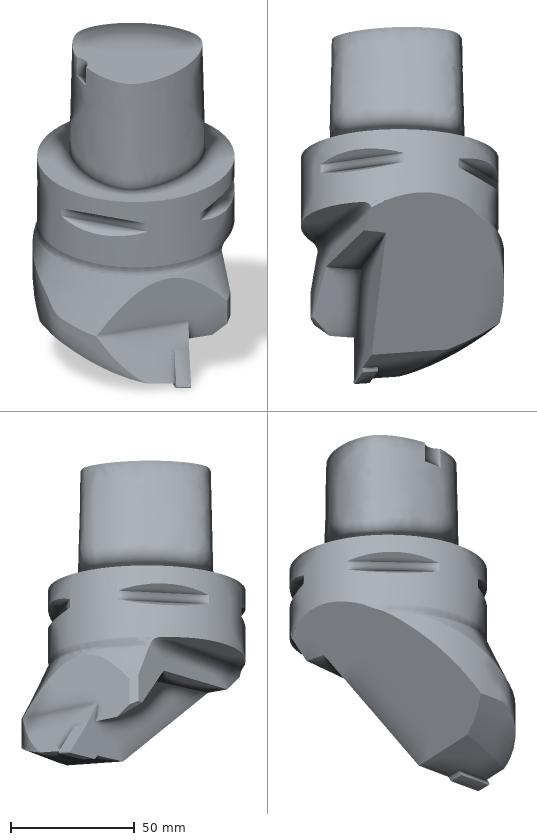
import cadquery as cq
import math

SHANK_HEIGHT = 48.0
FLANGE_RADIUS = 80.0 / 2
FLANGE_HEIGHT = 30.0
BODY_DEPTH = 80.0
REACH = 153.6

LOBE_MEAN_RADIUS = 27.5
LOBE_AMPLITUDE = 2.11
SHANK_TAPER = 1.2
LOBE_POINTS = 36

KEYWAY_RADIUS = 5.95
KEYWAY_DEPTH = 8.2
KEYWAY_CENTRE_Y = -21.9 - KEYWAY_RADIUS

GROOVE_COUNT = 4
GROOVE_Z = -11.9
GROOVE_FLOOR_DISTANCE = 35.3
GROOVE_FLOOR_WIDTH = 3.6
GROOVE_ANGLE = 30.0

NECK_RADIUS = 39.8
NECK_MIDDLE_Z = -31.7
CONE_TOP_RADIUS = 40.8
CONE_TOP_Z = -34.0
CONE_SLOPE = 0.48
SIDE_Y = 23.7
BELLY_Y = -45.3
SIDE_FILLET = 3.2
SIDE_CHAMFER_Y = 14.7
SIDE_CHAMFER_TOP = -58.6
SIDE_CHAMFER_BOTTOM = -64.4
LEFT_PLANE_Z = -26.2
LEFT_PLANE_ANGLE = 39.0
RELIEF_Y = 26.5
RELIEF_RISE = 1.2

FRONT_ANGLE = math.degrees(math.atan2(4, 43))
FRONT_OFFSET = 41.5
NOSE_TOP_Z = -56.7
NOSE_SLOPE = 1.9
NOSE_FILLET = 5.1 / 2
POCKET_ENTRY_Z = -39.0
POCKET_CORNER = (20.5, -42.0)
POCKET_LIP = (39.7, -62.7)

UNDERSIDE_START = (-46.6, -62.3)
UNDERSIDE_MIDDLE = (-28.2, -72.6)
UNDERSIDE_LOW = (3.6, -79.4)
TIP_FLAT_POINT = (23.0, 3.6, -77.0)
TIP_FLAT_NORMAL = (-0.06, -0.12, -1.0)

TIP = (55.5, -0.1, -80.0)
RAKE_NORMAL = (0.11, 1.0, -0.14)
INSERT_EDGE = 15.9
INSERT_ANGLE = 55.0
INSERT_TILT = 2.0
INSERT_THICKNESS = 6.4
INSERT_CORNER_RADIUS = 0.6

tip_flat_plane = cq.Plane(
    origin=TIP_FLAT_POINT, xDir=(1, 0, TIP_FLAT_NORMAL[0]), normal=TIP_FLAT_NORMAL
)
rake_plane = cq.Plane(origin=TIP, xDir=(1.0, -RAKE_NORMAL[0], 0), normal=RAKE_NORMAL)
strike = math.radians(FRONT_ANGLE)
front_plane = cq.Plane(
    origin=(0, 0, 0),
    xDir=(math.cos(strike), -math.sin(strike), 0),
    normal=(-math.sin(strike), -math.cos(strike), 0),
)


def lobe_points(mean_radius):
    """Points of a curve whose tangent distance from the axis varies three times per turn."""
    points = []
    for i in range(LOBE_POINTS):
        turn = 2 * math.pi * i / LOBE_POINTS
        phase = 3 * (turn - math.pi / 2)
        distance = mean_radius + LOBE_AMPLITUDE * math.cos(phase)
        slide = -3 * LOBE_AMPLITUDE * math.sin(phase)
        x = distance * math.cos(turn) - slide * math.sin(turn)
        y = distance * math.sin(turn) + slide * math.cos(turn)
        points.append((x, y))
    return points


def make_shank():
    shank = (
        cq.Workplane("XY")
        .spline(lobe_points(LOBE_MEAN_RADIUS), periodic=True).close()
        .workplane(offset=SHANK_HEIGHT)
        .spline(lobe_points(LOBE_MEAN_RADIUS - SHANK_TAPER), periodic=True).close()
        .loft(ruled=True)
    )
    keyway = (
        cq.Workplane("XY").workplane(offset=SHANK_HEIGHT - KEYWAY_DEPTH)
        .center(0, KEYWAY_CENTRE_Y).circle(KEYWAY_RADIUS).extrude(KEYWAY_DEPTH)
    )
    return shank.cut(keyway)


def gripper_groove():
    """Straight trapezoidal groove across the +X side of the flange."""
    depth = 2 * (FLANGE_RADIUS - GROOVE_FLOOR_DISTANCE)
    half_floor = GROOVE_FLOOR_WIDTH / 2
    half_mouth = half_floor + depth * math.tan(math.radians(GROOVE_ANGLE))
    mouth_x = GROOVE_FLOOR_DISTANCE + depth
    return (
        cq.Workplane("XZ")
        .moveTo(GROOVE_FLOOR_DISTANCE, GROOVE_Z - half_floor)
        .lineTo(mouth_x, GROOVE_Z - half_mouth)
        .lineTo(mouth_x, GROOVE_Z + half_mouth)
        .lineTo(GROOVE_FLOOR_DISTANCE, GROOVE_Z + half_floor)
        .close().extrude(FLANGE_RADIUS, both=True)
    )


def make_flange():
    flange = cq.Workplane("XY").circle(FLANGE_RADIUS).extrude(-FLANGE_HEIGHT)
    for i in range(GROOVE_COUNT):
        angle = 360 / GROOVE_COUNT * (i + 0.5)
        flange = flange.cut(gripper_groove().rotate((0, 0, 0), (0, 0, 1), angle))
    relief = (
        cq.Workplane("YZ").moveTo(RELIEF_Y, -FLANGE_HEIGHT)
        .lineTo(FLANGE_RADIUS, RELIEF_RISE - FLANGE_HEIGHT)
        .lineTo(FLANGE_RADIUS, -FLANGE_HEIGHT)
        .close().extrude(FLANGE_RADIUS, both=True)
    )
    return flange.cut(relief)


def head_plan():
    """Plan outline of the head, carried down past the tip."""
    return (
        cq.Workplane("XY").workplane(offset=-FLANGE_HEIGHT)
        .moveTo(-25.6, -31.4)
        .threePointArc((-9.6, -41.5), (11.4, BELLY_Y))
        .lineTo(17.0, BELLY_Y)
        .threePointArc((21.2, -44.8), (25.2, -43.4))
        .threePointArc((40.3, -32.8), (53.8, -3.8))
        .lineTo(53.8, 10.9)
        .lineTo(41, SIDE_Y)
        .lineTo(-32.1, SIDE_Y)
        .threePointArc((-FLANGE_RADIUS, 0), (-25.6, -31.4))
        .close().extrude(FLANGE_HEIGHT - BODY_DEPTH)
    )


def head_cone():
    """Hollow neck under the flange rim and the cone that widens below it."""
    bottom_radius = CONE_TOP_RADIUS + CONE_SLOPE * (BODY_DEPTH + CONE_TOP_Z)
    return (
        cq.Workplane("XZ").moveTo(0, -FLANGE_HEIGHT)
        .lineTo(FLANGE_RADIUS, -FLANGE_HEIGHT)
        .threePointArc((NECK_RADIUS, NECK_MIDDLE_Z), (CONE_TOP_RADIUS, CONE_TOP_Z))
        .lineTo(bottom_radius, -BODY_DEPTH)
        .lineTo(0, -BODY_DEPTH)
        .close().revolve(360, (0, 0, 0), (0, 1, 0))
    )


def front_profile():
    """Steep front wall that spreads outward into the nose."""
    nose_x = FRONT_OFFSET + (BODY_DEPTH + NOSE_TOP_Z) / NOSE_SLOPE
    inner_corner = front_plane.toWorldCoords((FRONT_OFFSET, NOSE_TOP_Z, 0)).toTuple()
    return (
        cq.Workplane(front_plane).moveTo(-REACH, 0)
        .lineTo(FRONT_OFFSET, 0)
        .lineTo(FRONT_OFFSET, NOSE_TOP_Z)
        .lineTo(nose_x, -BODY_DEPTH)
        .lineTo(-REACH, -BODY_DEPTH)
        .close().extrude(REACH, both=True)
        .edges(cq.selectors.NearestToPointSelector(inner_corner))
        .fillet(NOSE_FILLET)
    )


def chip_pocket():
    """Space in front of the rake plane, below the block that stays above it."""
    rake_side = cq.Workplane(rake_plane).rect(2 * REACH, 2 * REACH).extrude(REACH)
    block = (
        cq.Workplane(front_plane).moveTo(-REACH, 0)
        .lineTo(-REACH, POCKET_ENTRY_Z)
        .lineTo(-FLANGE_RADIUS, POCKET_ENTRY_Z)
        .lineTo(*POCKET_CORNER)
        .lineTo(*POCKET_LIP)
        .lineTo(FRONT_OFFSET, SIDE_CHAMFER_BOTTOM)
        .lineTo(FRONT_OFFSET, 0)
        .close().extrude(REACH, both=True)
    )
    return rake_side.cut(block)


def rounded_underside():
    """Space above the curved underside, which runs along X."""
    return (
        cq.Workplane("YZ").moveTo(UNDERSIDE_START[0], 0)
        .lineTo(*UNDERSIDE_START)
        .threePointArc(UNDERSIDE_MIDDLE, UNDERSIDE_LOW)
        .lineTo(FLANGE_RADIUS, UNDERSIDE_LOW[1])
        .lineTo(FLANGE_RADIUS, 0)
        .close().extrude(REACH, both=True)
    )


def flat_underside():
    """Space below the tilted flat next to the tip."""
    return (
        cq.Workplane(tip_flat_plane)
        .rect(2 * REACH, 2 * REACH).extrude(REACH)
    )


def side_chamfer():
    """Wedge under the block at the lower edge of the flat +Y side."""
    return (
        cq.Workplane("YZ").moveTo(SIDE_Y, SIDE_CHAMFER_TOP)
        .lineTo(SIDE_CHAMFER_Y, SIDE_CHAMFER_BOTTOM)
        .lineTo(SIDE_Y, SIDE_CHAMFER_BOTTOM)
        .close().extrude(REACH, both=True)
    )


def side_fillet():
    """Concave strip between the flat +Y side and the flange."""
    bend = SIDE_FILLET * (1 - math.sqrt(0.5))
    strip = (
        cq.Workplane("YZ").moveTo(SIDE_Y, -FLANGE_HEIGHT)
        .lineTo(SIDE_Y, -FLANGE_HEIGHT - SIDE_FILLET)
        .threePointArc(
            (SIDE_Y + bend, -FLANGE_HEIGHT - bend),
            (SIDE_Y + SIDE_FILLET, -FLANGE_HEIGHT),
        )
        .close().extrude(FLANGE_RADIUS, both=True)
    )
    rim = cq.Workplane("XY").circle(FLANGE_RADIUS).extrude(-BODY_DEPTH)
    return strip.intersect(rim)


def left_plane_cut():
    """Space below the sloping plane that trims the flange and head on the -X side."""
    slope = math.tan(math.radians(LEFT_PLANE_ANGLE))
    return (
        cq.Workplane("XZ").moveTo(-REACH, LEFT_PLANE_Z + slope * (REACH - FLANGE_RADIUS))
        .lineTo(REACH, LEFT_PLANE_Z - slope * (REACH + FLANGE_RADIUS))
        .lineTo(-REACH, LEFT_PLANE_Z - slope * (REACH + FLANGE_RADIUS))
        .close().extrude(REACH, both=True)
    )


def make_head():
    head = head_plan().intersect(head_cone()).intersect(front_profile())
    head = head.intersect(rounded_underside()).cut(flat_underside())
    return head.cut(chip_pocket()).cut(side_chamfer())


def make_insert():
    bottom = math.radians(INSERT_TILT)
    flank = math.radians(INSERT_TILT + INSERT_ANGLE)
    low = (-INSERT_EDGE * math.cos(bottom), -INSERT_EDGE * math.sin(bottom))
    high = (-INSERT_EDGE * math.cos(flank), -INSERT_EDGE * math.sin(flank))
    far = (low[0] + high[0], low[1] + high[1])
    return (
        cq.Workplane(rake_plane)
        .polyline([(0, 0), low, far, high]).close()
        .extrude(-INSERT_THICKNESS)
        .edges(cq.selectors.ParallelDirSelector(cq.Vector(*RAKE_NORMAL)))
        .fillet(INSERT_CORNER_RADIUS)
    )


insert = make_insert()
holder = make_flange().union(make_shank()).union(make_head()).union(side_fillet())
holder = holder.cut(left_plane_cut()).cut(insert)

result = cq.Compound.makeCompound([holder.val(), insert.val()])